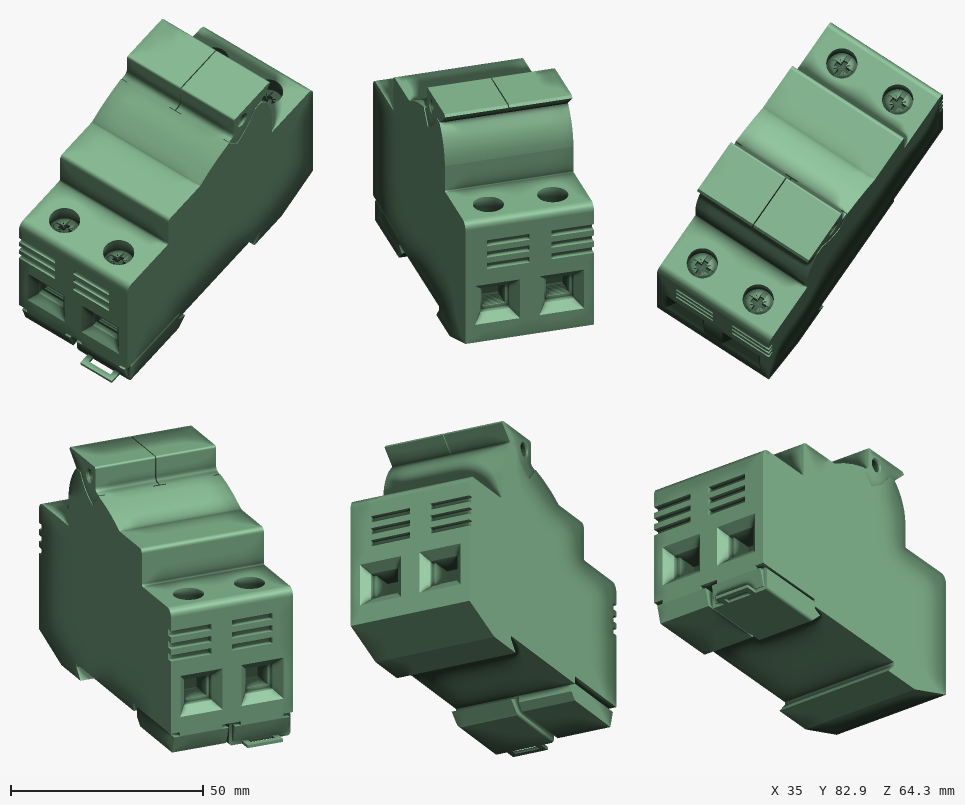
import cadquery as cq
import math


width = 35.0
overall_length = 82.9
length = 81.1
pole_width = width / 2
pole_centres = (-pole_width / 2, pole_width / 2)
terminal_deck_z = 41.9
deck_edge_radius = 2.1
foot_bottom_z = 1.1
rail_z = 4.9
back_chamfer_z = 6.05
back_chamfer_y = 67.3
hook_tip_y = 55.5
hook_root_y = 58.0
hook_root_z = 4.0
front_step_y = 17.9
front_step_z = 52.1
step_top_radius = 1.2
step_root_radius = 0.6
back_step_y = 63.1
back_root_radius = 0.3
back_wall_z = 49.4
back_arc_middle = (61.7, 55.2)

crest_radius = 44.6
crest_centre_y = 54.3
crest_centre_z = 13.7

foot_back_y = 22.9
foot_top_z = 5.9
neck_top_z = 7.05
foot_inset = 1.0
neck_inset = 2.65
foot_slope = 1.4
foot_corner = 1.9

latch_height = 6.7
latch_corner_radius = 0.8
latch_front_y = 1.65
latch_side_gap = 0.2
latch_edge_z = 0.25
latch_tip_y = 25.3
latch_tip_z = 3.2
latch_shoulder_z = 4.2
latch_bottom_back_y = 21.7
tab_width = 10.2
tab_reach = overall_length - length
tab_thickness = 0.8
tab_slot_width = 7.0
tab_slot_front_y = -0.25

top_z = 64.3
handle_clearance = 0.2
handle_edge_radius = 0.6
handle_face_y = 46.8
handle_front_y = 44.4
handle_fillet_radius = 1.3
handle_toe_y = 48.1
handle_toe_z = 53.2
handle_seat_z = 59.8
seat_front_y = 55.9
seat_back_y = 58.35
seat_arc_middle = (52.5, 55.8)
grip_tip_y = 62.75
grip_tip_z = 63.7
seal_hole_y = 50.5
seal_hole_z = 60.6
seal_hole_diameter = 3.3
seal_hole_chamfer = 0.4
pry_slot_length = 1.9
pry_slot_width = 0.3

vent_length = 11.6
vent_height = 1.7
vent_pitch = 3.4
vent_depth = 1.65
vent_middle_z = 31.7
vent_rows = (-1, 0, 1)

entry_z = 17.1
entry_width = 12.1
entry_height = 11.5
throat_width = 7.95
throat_height = 7.1
funnel_depth = 2.2
throat_depth = 3.7
clamp_width = 6.4
clamp_height = 6.2
clamp_depth = 9.95
serration_count = 8
serration_pitch = 0.7
serration_width = 0.3
serration_depth = 0.25

screw_offset_y = 8.0
screw_radius = 4.1
screw_depth = 3.5
screw_dome = 1.0
drive_slot_width = 1.4
drive_slot_depth = 1.0
drive_cross_length = 6.5
drive_core_length = 4.15
drive_core_depth = 2.3
star_length = 4.5
star_width = 0.25


def crest_height(y):
    return crest_centre_z + math.sqrt(crest_radius**2 - (y - crest_centre_y) ** 2)


slope_start_y = crest_centre_y - math.sqrt(crest_radius**2 - (front_step_z - crest_centre_z) ** 2)
handle_front_z = crest_height(handle_front_y)

fillet_centre_y = handle_face_y - handle_fillet_radius
fillet_centre_offset = fillet_centre_y - crest_centre_y
fillet_reach = crest_radius + handle_fillet_radius
fillet_centre_z = crest_centre_z + math.sqrt(fillet_reach**2 - fillet_centre_offset**2)
handle_fillet_y = crest_centre_y + fillet_centre_offset * crest_radius / fillet_reach
handle_fillet_z = crest_height(handle_fillet_y)


def box(x0, x1, y0, y1, z0, z1):
    return cq.Workplane("XY").box(x1 - x0, y1 - y0, z1 - z0, centered=False).translate((x0, y0, z0))


def side_sketch(x):
    """Workplane at the given x whose coordinates are (y, z)."""
    return cq.Workplane("YZ", origin=(x, 0, 0))


def make_housing():
    return (
        side_sketch(-width / 2)
        .moveTo(0, neck_top_z)
        .lineTo(0, terminal_deck_z - deck_edge_radius)
        .radiusArc((deck_edge_radius, terminal_deck_z), deck_edge_radius)
        .lineTo(front_step_y - step_root_radius, terminal_deck_z)
        .radiusArc((front_step_y, terminal_deck_z + step_root_radius), -step_root_radius)
        .lineTo(front_step_y, front_step_z - step_top_radius)
        .radiusArc((front_step_y + step_top_radius, front_step_z), step_top_radius)
        .lineTo(slope_start_y, front_step_z)
        .radiusArc((handle_front_y, handle_front_z), crest_radius)
        .lineTo(handle_toe_y, handle_toe_z)
        .threePointArc(seat_arc_middle, (seat_front_y, handle_seat_z))
        .lineTo(seat_back_y, handle_seat_z)
        .threePointArc(back_arc_middle, (back_step_y, back_wall_z))
        .lineTo(back_step_y, terminal_deck_z + back_root_radius)
        .radiusArc((back_step_y + back_root_radius, terminal_deck_z), -back_root_radius)
        .lineTo(length - deck_edge_radius, terminal_deck_z)
        .radiusArc((length, terminal_deck_z - deck_edge_radius), deck_edge_radius)
        .lineTo(length, back_chamfer_z)
        .lineTo(back_chamfer_y, foot_bottom_z)
        .lineTo(hook_tip_y, foot_bottom_z)
        .lineTo(hook_root_y, hook_root_z)
        .lineTo(hook_root_y, rail_z)
        .lineTo(foot_back_y, rail_z)
        .lineTo(foot_back_y, neck_top_z)
        .close()
        .extrude(width)
    )


def make_foot(pole_x):
    """Foot of one pole: a narrow neck carrying a wider block with a sloped front."""
    foot_width = pole_width - 2 * foot_inset
    neck_half = pole_width / 2 - neck_inset
    block = (
        side_sketch(pole_x - foot_width / 2)
        .polyline([
            (0, foot_top_z),
            (foot_slope, foot_bottom_z),
            (foot_back_y - foot_corner, foot_bottom_z),
            (foot_back_y, foot_bottom_z + foot_corner),
            (foot_back_y, foot_top_z),
        ])
        .close()
        .extrude(foot_width)
    )
    neck = box(pole_x - neck_half, pole_x + neck_half, 0, foot_back_y, foot_top_z, neck_top_z)
    return block.union(neck)


def make_latch():
    """Sliding latch: a channel around the right foot, a hooked tip and a slotted pull tab."""
    centre_x = pole_centres[1]
    profile = (
        side_sketch(0)
        .polyline([
            (latch_front_y, 0),
            (latch_bottom_back_y, 0),
            (latch_bottom_back_y + latch_edge_z, latch_edge_z),
            (latch_tip_y, latch_tip_z),
            (foot_back_y, latch_shoulder_z),
            (foot_back_y, latch_height),
            (latch_front_y, latch_height),
        ])
        .close()
        .extrude(pole_width)
    )
    profile = profile.edges("|Y").fillet(latch_corner_radius)
    tab = box(centre_x - tab_width / 2, centre_x + tab_width / 2, -tab_reach, latch_front_y, 0, tab_thickness)
    slot = box(
        centre_x - tab_slot_width / 2, centre_x + tab_slot_width / 2,
        tab_slot_front_y, latch_front_y, 0, tab_thickness,
    )
    gap_half = pole_width / 2 - foot_inset + latch_side_gap
    gap = box(centre_x - gap_half, centre_x + gap_half, latch_front_y, foot_back_y, foot_bottom_z, foot_top_z)
    return profile.cut(gap).union(tab.cut(slot))


def make_handle(pole_x):
    handle_width = pole_width - 2 * handle_clearance
    handle = (
        side_sketch(pole_x - handle_width / 2)
        .moveTo(handle_front_y, handle_front_z)
        .lineTo(handle_toe_y, handle_toe_z)
        .threePointArc(seat_arc_middle, (seat_front_y, handle_seat_z))
        .lineTo(seat_back_y, handle_seat_z)
        .lineTo(grip_tip_y, grip_tip_z)
        .lineTo(grip_tip_y - handle_edge_radius, top_z)
        .lineTo(handle_face_y + handle_edge_radius, top_z)
        .radiusArc((handle_face_y, top_z - handle_edge_radius), -handle_edge_radius)
        .lineTo(handle_face_y, fillet_centre_z)
        .radiusArc((handle_fillet_y, handle_fillet_z), handle_fillet_radius)
        .radiusArc((handle_front_y, handle_front_z), -crest_radius)
        .close()
        .extrude(handle_width)
    )
    hole = side_sketch(pole_x).center(seal_hole_y, seal_hole_z)
    handle = handle.cut(hole.circle(seal_hole_diameter / 2).extrude(pole_width / 2, both=True))
    for side in (-1, 1):
        face_x = pole_x + side * handle_width / 2
        cone = cq.Solid.makeCone(
            seal_hole_diameter / 2 + seal_hole_chamfer, seal_hole_diameter / 2, seal_hole_chamfer,
            pnt=cq.Vector(face_x, seal_hole_y, seal_hole_z), dir=cq.Vector(-side, 0, 0),
        )
        handle = handle.cut(cq.Workplane(cone))
    return handle


def make_pry_slots(pole_x):
    """Thin slots along the front edge of a handle, one at each side of the pole."""
    slots = cq.Workplane()
    half_slot = pry_slot_width / 2
    for x0 in (pole_x - pole_width / 2, pole_x + pole_width / 2 - pry_slot_length):
        slots = slots.union(
            side_sketch(x0)
            .polyline([
                (handle_front_y - half_slot, handle_front_z + half_slot),
                (handle_front_y + half_slot, handle_front_z + half_slot),
                (handle_toe_y + half_slot, handle_toe_z),
                (handle_toe_y - half_slot, handle_toe_z),
            ])
            .close()
            .extrude(pry_slot_length)
        )
    return slots


def make_front_vents(pole_x):
    x0 = pole_x - pole_width / 2
    vents = cq.Workplane()
    for row in vent_rows:
        z0 = vent_middle_z + row * vent_pitch - vent_height / 2
        vents = vents.union(box(x0, x0 + vent_length, 0, vent_depth, z0, z0 + vent_height))
    return vents


def make_front_entry(pole_x):
    """Tapered wire entry, a straight throat and a clamp chamber with a serrated floor."""
    mouth = cq.Workplane("XZ", origin=(pole_x, 0, entry_z)).rect(entry_width, entry_height)
    funnel = mouth.workplane(offset=-funnel_depth).rect(throat_width, throat_height).loft(combine=True)
    throat_half = throat_width / 2
    clamp_half = clamp_width / 2
    throat_top_z = entry_z + throat_height / 2
    throat = box(
        pole_x - throat_half, pole_x + throat_half, funnel_depth, throat_depth,
        throat_top_z - throat_height, throat_top_z,
    )
    clamp_floor_z = throat_top_z - clamp_height
    entry = funnel.union(throat).union(
        box(pole_x - clamp_half, pole_x + clamp_half, throat_depth, clamp_depth, clamp_floor_z, throat_top_z)
    )
    for i in range(serration_count):
        y0 = throat_depth + serration_width + i * serration_pitch
        entry = entry.union(box(
            pole_x - clamp_half, pole_x + clamp_half, y0, y0 + serration_width,
            clamp_floor_z - serration_depth, clamp_floor_z,
        ))
    return entry


def make_screw_well(pole_x, y):
    """Well in the terminal deck, shaped so that a domed cross-slotted screw head stays at its bottom."""
    crown_z = terminal_deck_z - screw_depth
    rim_z = crown_z - screw_dome
    dome_middle = (screw_radius / 2, crown_z - screw_dome / 4)
    well = (
        cq.Workplane("XZ")
        .moveTo(0, crown_z)
        .threePointArc(dome_middle, (screw_radius, rim_z))
        .lineTo(screw_radius, terminal_deck_z)
        .lineTo(0, terminal_deck_z)
        .close()
        .revolve(360, (0, 0, 0), (0, 1, 0))
    )

    def drive_cut(size_x, size_y, depth, angle=0):
        cut = box(-size_x / 2, size_x / 2, -size_y / 2, size_y / 2, crown_z - depth, crown_z)
        return cut.rotate((0, 0, 0), (0, 0, 1), angle)

    drive = drive_cut(drive_slot_width, 2 * screw_radius, drive_slot_depth)
    drive = drive.union(drive_cut(drive_cross_length, drive_slot_width, drive_slot_depth))
    drive = drive.union(drive_cut(drive_core_length, drive_slot_width, drive_core_depth))
    drive = drive.union(drive_cut(drive_slot_width, drive_core_length, drive_core_depth))
    for angle in (45, 135):
        drive = drive.union(drive_cut(star_length, star_width, drive_slot_depth, angle))
    head_base_z = crown_z - drive_core_depth
    head = cq.Workplane("XY", origin=(0, 0, head_base_z)).circle(screw_radius).extrude(drive_core_depth)
    return well.union(drive.intersect(head)).translate((pole_x, y, 0))


def at_both_ends(cutter):
    return cutter.union(cutter.mirror("XZ", (0, length / 2, 0)))


body = make_housing()
for centre in pole_centres:
    body = body.cut(at_both_ends(make_front_vents(centre)))
    body = body.cut(at_both_ends(make_front_entry(centre)))
    for screw_y in (screw_offset_y, length - screw_offset_y):
        body = body.cut(make_screw_well(centre, screw_y))
    body = body.union(make_foot(centre))
    body = body.union(make_handle(centre))
    body = body.cut(make_pry_slots(centre))

result = body.union(make_latch())